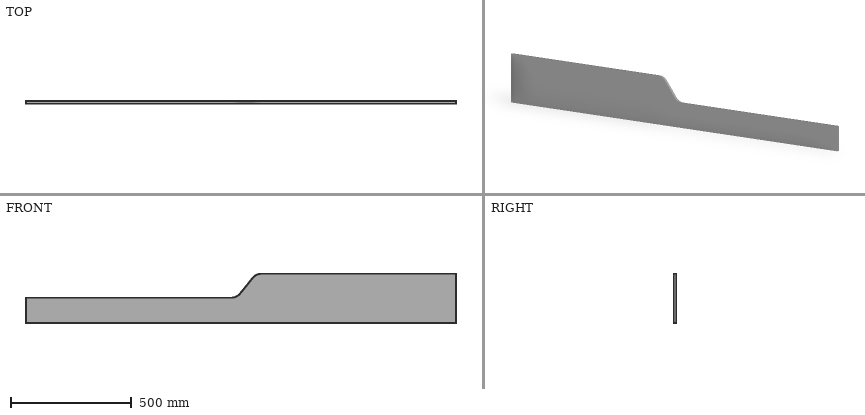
import cadquery as cq
import math

length = 1780.0
thickness = 12.0
full_height = 205.0
low_height = 105.0

slope_start = 872.0
slope_end = 952.0
corner_radius = 50.0


def arc_middle(corner_x, corner_z, side):
    """Midpoint of a rounded corner; side is +1 above the corner, -1 below it."""
    gap = corner_radius * (1 / math.cos(slope_angle / 2) - 1)
    x = corner_x - side * gap * math.sin(slope_angle / 2)
    z = corner_z + side * gap * math.cos(slope_angle / 2)
    return x, z


slope_angle = math.atan2(full_height - low_height, slope_end - slope_start)
tangent = corner_radius * math.tan(slope_angle / 2)
run = math.cos(slope_angle)
rise = math.sin(slope_angle)

result = (
    cq.Workplane("XZ")
    .moveTo(0, 0)
    .lineTo(length, 0)
    .lineTo(length, full_height)
    .lineTo(slope_end + tangent, full_height)
    .threePointArc(
        arc_middle(slope_end, full_height, -1),
        (slope_end - tangent * run, full_height - tangent * rise),
    )
    .lineTo(slope_start + tangent * run, low_height + tangent * rise)
    .threePointArc(
        arc_middle(slope_start, low_height, 1),
        (slope_start - tangent, low_height),
    )
    .lineTo(0, low_height)
    .close()
    .extrude(thickness / 2, both=True)
)